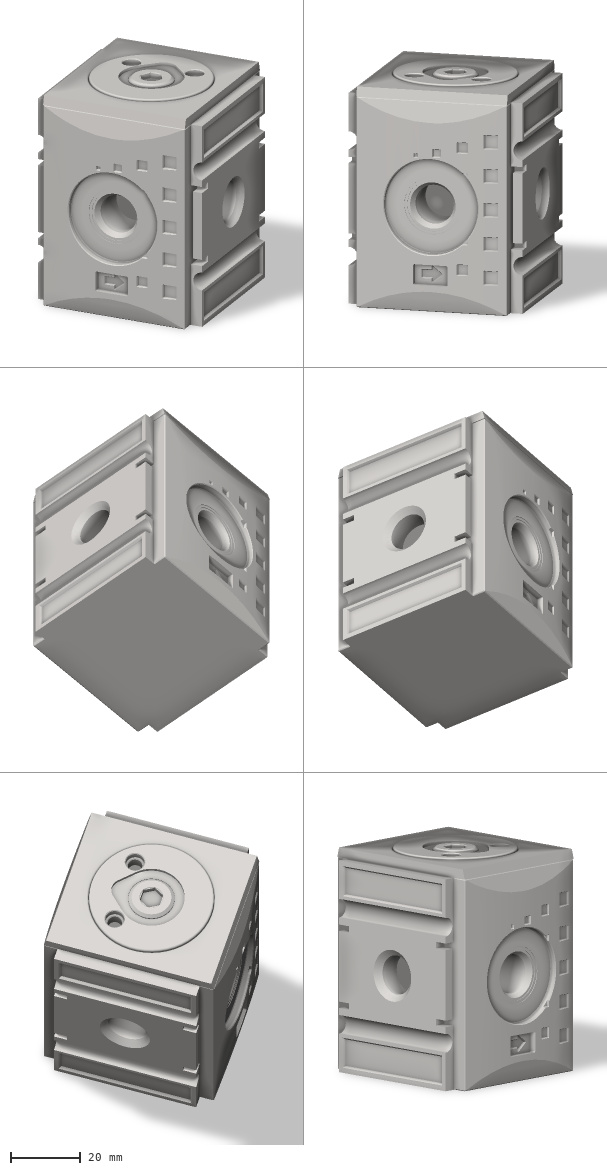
import cadquery as cq
import math

TOTAL_HEIGHT = 65.3
HOUSING_HEIGHT = 61.9
COVER_TOP = 64.8
BLOCK_WIDTH = 44.9
PLATE_SPAN = 52.0
PLATE_DEPTH = 42.7
MID_HEIGHT = HOUSING_HEIGHT / 2

BULGE_DEPTH = 54.2
BULGE_CORNER_DEPTH = 51.05
SLOPE_HEIGHT = 6.15
EDGE_CHAMFER = 0.25

BOSS_DIAMETER = 36.0
COVER_HOLE_DIAMETER = 36.2
SEAM_FILLET = 0.5

TEARDROP_RADIUS = 9.55
TEARDROP_TIP_RADIUS = 3.8
TEARDROP_DEPTH = 1.0
PLUG_DIAMETER = 13.2
PLUG_TOP_DIAMETER = 11.4
PLUG_RIM_HEIGHT = 0.2
PLUG_GROOVE_DIAMETER = 13.65
PLUG_GROOVE_DEPTH = 0.2
HEX_ACROSS_FLATS = 6.0
HEX_DEPTH = 1.75
HEX_CHAMFER_DEPTH = 0.2

SCREW_HOLE_X = 10.0
SCREW_HOLE_Y = 7.95
SCREW_HOLE_DIAMETER = 4.1
SCREW_HOLE_DEPTH = 5.2
COUNTERBORE_DIAMETER = 5.5
COUNTERBORE_DEPTH = 1.95
SCREW_HOLE_CHAMFER = 0.25

BORE_DIAMETER = 11.4
PORT_MOUTH_DIAMETER = 15.1
SIDE_PORT_DEPTH = 7.65
PORT_CONE_DIAMETER = 13.6
PORT_CONE_DEPTH = 1.9
PORT_RIM_DIAMETER = 16.8
PORT_STEP_DEPTH = 0.2
FRONT_BORE_DEPTH = 13.05

RECESS_DIAMETER = 28.0
RECESS_FLOOR_Y = 24.6
RECESS_EDGE = 0.25
SQUARE_DEPTH = 0.8
SQUARE_TAPER = 18.0
CUTTER_LENGTH = 3.9

SQUARE_COLUMNS = [
    (17.9, 3.7, [-20.0, -10.0, 0, 10.0, 20.0]),
    (9.55, 2.8, [-17.95, -8.95, 8.95, 17.95]),
    (1.9, 2.1, [16.0]),
    (-4.3, 0.85, [14.95]),
]

ARROW_POCKET_WIDTH = 10.2
ARROW_POCKET_HEIGHT = 6.1
ARROW_POCKET_CORNER = 0.3
ARROW_POCKET_FLOOR_Y = 25.1
ARROW_Z = 11.0
ARROW_TAIL_X = -2.9
ARROW_NECK_X = 0.05
ARROW_TIP_X = 2.9
ARROW_TAIL_HALF = 1.05
ARROW_HEAD_HALF = 2.2
ARROW_DEPTH = 0.65
ARROW_TAPER = 25.0

GROOVE_DIAMETER = 5.5
GROOVE_OFFSET = 17.0
PANEL_WIDTH = 39.85
PANEL_HEIGHT = 8.75
PANEL_OFFSET = 25.1
PANEL_DEPTH = 0.8
PANEL_BEVEL = 0.5
CLAMP_HEIGHT = 24.4
CLAMP_DEPTH = 3.9
CLAMP_SLOT_WIDTH = 1.9
CLAMP_TONGUE_BACK_X = 23.1


def both_ends(cutter):
    """Join a cutter with its copy turned half a turn about Z."""
    return cutter.union(cutter.rotate((0, 0, 0), (0, 0, 1), 180))


def front_plane(depth_y):
    """Plane facing -Y at Y = -depth_y, centred on the port axis height."""
    return cq.Workplane("XZ", origin=(0, -depth_y, MID_HEIGHT))


def turned(profile):
    """Solid of revolution about Z from (radius, z) points."""
    return cq.Workplane("XZ").polyline(profile).close().revolve(360, (0, 0, 0), (0, 1, 0))


def bulged_block():
    """Barrel-shaped block whose sloped ends run on from the housing to the cover."""
    half_width = BLOCK_WIDTH / 2
    corner_y = BULGE_CORNER_DEPTH / 2
    crown_y = BULGE_DEPTH / 2
    barrel = (
        cq.Workplane("XY")
        .moveTo(-half_width, -corner_y)
        .threePointArc((0, -crown_y), (half_width, -corner_y))
        .lineTo(half_width, corner_y)
        .threePointArc((0, crown_y), (-half_width, corner_y))
        .close()
        .extrude(COVER_TOP)
    )
    slope = (crown_y - corner_y) / SLOPE_HEIGHT
    top_y = corner_y - slope * (COVER_TOP - HOUSING_HEIGHT)
    right_half = [
        (corner_y, 0),
        (crown_y, SLOPE_HEIGHT),
        (crown_y, HOUSING_HEIGHT - SLOPE_HEIGHT),
        (top_y, COVER_TOP),
    ]
    left_half = [(-y, z) for y, z in reversed(right_half)]
    profile = (
        cq.Workplane("YZ")
        .polyline(right_half + left_half)
        .close()
        .extrude(half_width, both=True)
    )
    return barrel.intersect(profile)


def height_slab(bottom, top):
    """Slab wider than the part, used to keep only the given range of heights."""
    slab_size = 2 * TOTAL_HEIGHT
    return cq.Workplane("XY", origin=(0, 0, bottom)).rect(slab_size, slab_size).extrude(top - bottom)


def bulge_y(x):
    """Distance of the bulged face from the XZ plane at a given x."""
    rise = (BULGE_DEPTH - BULGE_CORNER_DEPTH) / 2
    radius = ((BLOCK_WIDTH / 2) ** 2 + rise ** 2) / (2 * rise)
    return BULGE_DEPTH / 2 - radius + math.sqrt(radius ** 2 - x ** 2)


def mounting_plates():
    """Plates standing out on both sides, made as one slab through the housing."""
    plates = (
        cq.Workplane("XY")
        .rect(PLATE_SPAN, PLATE_DEPTH)
        .extrude(HOUSING_HEIGHT)
    )
    return plates.cut(both_ends(plate_cutters()))


def plate_cutters():
    """Grooves, panels and clamp slots of the plate on the -X side."""
    face_x = -PLATE_SPAN / 2
    grooves = (
        cq.Workplane("XZ", origin=(face_x, 0, MID_HEIGHT))
        .pushPoints([(0, -GROOVE_OFFSET), (0, GROOVE_OFFSET)])
        .circle(GROOVE_DIAMETER / 2)
        .extrude(PLATE_DEPTH / 2, both=True)
    )
    panel_taper = math.degrees(math.atan(PANEL_BEVEL / PANEL_DEPTH))
    panels = (
        cq.Workplane("YZ", origin=(face_x, 0, MID_HEIGHT))
        .pushPoints([(0, -PANEL_OFFSET), (0, PANEL_OFFSET)])
        .rect(PANEL_WIDTH, PANEL_HEIGHT)
        .extrude(PANEL_DEPTH, taper=panel_taper)
    )
    cutters = grooves.union(panels)
    for side in (-1, 1):
        cutters = cutters.union(clamp_slot(side))
    return cutters


def clamp_slot(side):
    """U-shaped slot that leaves a tongue standing at the outer face of the plate."""
    outer_x = -PLATE_SPAN / 2
    inner_x = -BLOCK_WIDTH / 2
    back_y = PLATE_DEPTH / 2 - CLAMP_DEPTH
    slot = (
        cq.Workplane("XY", origin=((outer_x + inner_x) / 2, side * (back_y + CLAMP_DEPTH / 2), MID_HEIGHT))
        .box(inner_x - outer_x, CLAMP_DEPTH, CLAMP_HEIGHT)
    )
    tongue_x = (outer_x - CLAMP_TONGUE_BACK_X) / 2
    tongue = (
        cq.Workplane("XY", origin=(tongue_x, side * (back_y + CLAMP_DEPTH / 2), MID_HEIGHT))
        .box(-CLAMP_TONGUE_BACK_X - outer_x, CLAMP_DEPTH, CLAMP_HEIGHT - 2 * CLAMP_SLOT_WIDTH)
    )
    return slot.cut(tongue)


def side_port():
    """Blind bore with a 45 degree countersink in the -X face."""
    mouth = PORT_MOUTH_DIAMETER / 2
    bore = BORE_DIAMETER / 2
    return (
        cq.Workplane("XY", origin=(-PLATE_SPAN / 2, 0, MID_HEIGHT))
        .polyline([(0, 0), (0, mouth), (mouth - bore, bore), (SIDE_PORT_DEPTH, bore), (SIDE_PORT_DEPTH, 0)])
        .close()
        .revolve(360, (0, 0, 0), (1, 0, 0))
    )


def front_port():
    """Stepped and coned blind bore in the floor of the round recess on the -Y face."""
    cone_start = 2 * PORT_STEP_DEPTH
    cone_end = cone_start + PORT_CONE_DEPTH
    profile = [
        (0, 0),
        (PORT_RIM_DIAMETER / 2, 0),
        (PORT_RIM_DIAMETER / 2, PORT_STEP_DEPTH),
        (PORT_MOUTH_DIAMETER / 2, PORT_STEP_DEPTH),
        (PORT_MOUTH_DIAMETER / 2, cone_start),
        (PORT_CONE_DIAMETER / 2, cone_start),
        (BORE_DIAMETER / 2, cone_end),
        (BORE_DIAMETER / 2, FRONT_BORE_DEPTH),
        (0, FRONT_BORE_DEPTH),
    ]
    return (
        cq.Workplane("XY", origin=(0, -RECESS_FLOOR_Y, MID_HEIGHT))
        .polyline(profile)
        .close()
        .revolve(360, (0, 0, 0), (0, 1, 0))
    )


def cut_round_recesses(block):
    """Round recess in both bulged faces, with broken rim and floor edges."""
    recess = (
        front_plane(RECESS_FLOOR_Y)
        .circle(RECESS_DIAMETER / 2)
        .extrude(CUTTER_LENGTH)
        .faces(">Y")
        .chamfer(RECESS_EDGE)
    )
    block = block.cut(both_ends(recess))
    reach = RECESS_DIAMETER / 2
    for side in (-1, 1):
        near = (-reach, side * (RECESS_FLOOR_Y + 2 * RECESS_EDGE), MID_HEIGHT - reach)
        far = (reach, side * BULGE_DEPTH / 2, MID_HEIGHT + reach)
        block = block.edges(cq.selectors.BoxSelector(near, far)).chamfer(RECESS_EDGE)
    return block


def square_pockets():
    """Tapered square pockets that shrink from column to column."""
    pockets = cq.Workplane("XY")
    for x, size, heights in SQUARE_COLUMNS:
        column = (
            front_plane(bulge_y(x) - SQUARE_DEPTH)
            .pushPoints([(x, height) for height in heights])
            .rect(size, size)
            .extrude(CUTTER_LENGTH, taper=-SQUARE_TAPER)
        )
        pockets = pockets.add(column)
    return pockets.combine()


def arrow_pocket():
    """Rectangular pocket with the arrow sunk into its floor."""
    arrow_height = ARROW_Z - MID_HEIGHT
    pocket = (
        front_plane(ARROW_POCKET_FLOOR_Y)
        .center(0, arrow_height)
        .rect(ARROW_POCKET_WIDTH, ARROW_POCKET_HEIGHT)
        .extrude(CUTTER_LENGTH)
        .edges("|Y")
        .fillet(ARROW_POCKET_CORNER)
    )
    upper_half = [
        (ARROW_TAIL_X, ARROW_TAIL_HALF),
        (ARROW_NECK_X, ARROW_TAIL_HALF),
        (ARROW_NECK_X, ARROW_HEAD_HALF),
    ]
    lower_half = [(x, -z) for x, z in reversed(upper_half)]
    arrow = (
        front_plane(ARROW_POCKET_FLOOR_Y - ARROW_DEPTH)
        .center(0, arrow_height)
        .polyline(upper_half + [(ARROW_TIP_X, 0)] + lower_half)
        .close()
        .extrude(ARROW_DEPTH, taper=-ARROW_TAPER)
    )
    return pocket.union(arrow)


def boss():
    """Round boss with the teardrop recess and the plug standing in it."""
    body = (
        cq.Workplane("XY", origin=(0, 0, HOUSING_HEIGHT))
        .circle(BOSS_DIAMETER / 2)
        .extrude(TOTAL_HEIGHT - HOUSING_HEIGHT)
        .faces(">Z")
        .fillet(SEAM_FILLET)
    )
    plug_seat = (
        cq.Workplane("XY", origin=(0, 0, TOTAL_HEIGHT - TEARDROP_DEPTH))
        .circle(PLUG_GROOVE_DIAMETER / 2)
        .extrude(-PLUG_GROOVE_DEPTH)
    )
    return body.cut(teardrop()).cut(plug_seat).union(plug())


def teardrop():
    """Outline around two circles whose common tangents run at 45 degrees."""
    diagonal = math.sqrt(0.5)
    tip_y = (TEARDROP_RADIUS - TEARDROP_TIP_RADIUS) / diagonal
    wide = TEARDROP_RADIUS * diagonal
    narrow = TEARDROP_TIP_RADIUS * diagonal
    return (
        cq.Workplane("XY", origin=(0, 0, TOTAL_HEIGHT - TEARDROP_DEPTH))
        .moveTo(wide, wide)
        .lineTo(narrow, tip_y + narrow)
        .threePointArc((0, tip_y + TEARDROP_TIP_RADIUS), (-narrow, tip_y + narrow))
        .lineTo(-wide, wide)
        .threePointArc((0, -TEARDROP_RADIUS), (wide, wide))
        .close()
        .extrude(TEARDROP_DEPTH)
    )


def plug():
    """Chamfered plug standing on the floor of its ring groove."""
    profile = [
        (0, -PLUG_GROOVE_DEPTH),
        (PLUG_DIAMETER / 2, -PLUG_GROOVE_DEPTH),
        (PLUG_DIAMETER / 2, PLUG_RIM_HEIGHT),
        (PLUG_TOP_DIAMETER / 2, TEARDROP_DEPTH),
        (0, TEARDROP_DEPTH),
    ]
    return turned(profile).translate((0, 0, TOTAL_HEIGHT - TEARDROP_DEPTH))


def hex_socket():
    """Hexagon socket with its corners broken by a shallow cone."""
    across_corners = HEX_ACROSS_FLATS / math.cos(math.pi / 6)
    top = cq.Workplane("XY", origin=(0, 0, TOTAL_HEIGHT))
    socket = top.polygon(6, across_corners).extrude(-HEX_DEPTH)
    cone = top.circle(across_corners / 2).extrude(-HEX_CHAMFER_DEPTH, taper=45)
    return socket.union(cone)


def screw_holes():
    """Counterbored blind holes with both rims chamfered."""
    hole = SCREW_HOLE_DIAMETER / 2
    bore = COUNTERBORE_DIAMETER / 2
    profile = [
        (0, 0),
        (bore + SCREW_HOLE_CHAMFER, 0),
        (bore, -SCREW_HOLE_CHAMFER),
        (bore, -COUNTERBORE_DEPTH),
        (hole + SCREW_HOLE_CHAMFER, -COUNTERBORE_DEPTH),
        (hole, -COUNTERBORE_DEPTH - SCREW_HOLE_CHAMFER),
        (hole, -SCREW_HOLE_DEPTH),
        (0, -SCREW_HOLE_DEPTH),
    ]
    cutter = turned(profile)
    left = cutter.translate((-SCREW_HOLE_X, SCREW_HOLE_Y, TOTAL_HEIGHT))
    right = cutter.translate((SCREW_HOLE_X, SCREW_HOLE_Y, TOTAL_HEIGHT))
    return left.union(right)


def make_housing():
    """Block with side plates, top boss, ports and pockets."""
    block = bulged_block().intersect(height_slab(0, HOUSING_HEIGHT))
    block = block.faces("<X or >X or <Z or >Z").edges().chamfer(EDGE_CHAMFER)
    block = cut_round_recesses(block)
    housing = block.union(mounting_plates()).union(boss())
    for cutter in (front_port(), square_pockets(), arrow_pocket(), side_port()):
        housing = housing.cut(both_ends(cutter))
    return housing.cut(hex_socket()).cut(screw_holes())


def make_cover():
    """Frame that lies on the housing around the boss."""
    cover = bulged_block().intersect(height_slab(HOUSING_HEIGHT, COVER_TOP))
    hole = (
        cq.Workplane("XY", origin=(0, 0, HOUSING_HEIGHT))
        .circle(COVER_HOLE_DIAMETER / 2)
        .extrude(COVER_TOP - HOUSING_HEIGHT)
    )
    return cover.cut(hole).faces(">Z").edges("%CIRCLE").fillet(SEAM_FILLET)


housing = make_housing()
cover = make_cover()
result = cq.Compound.makeCompound([housing.val(), cover.val()])